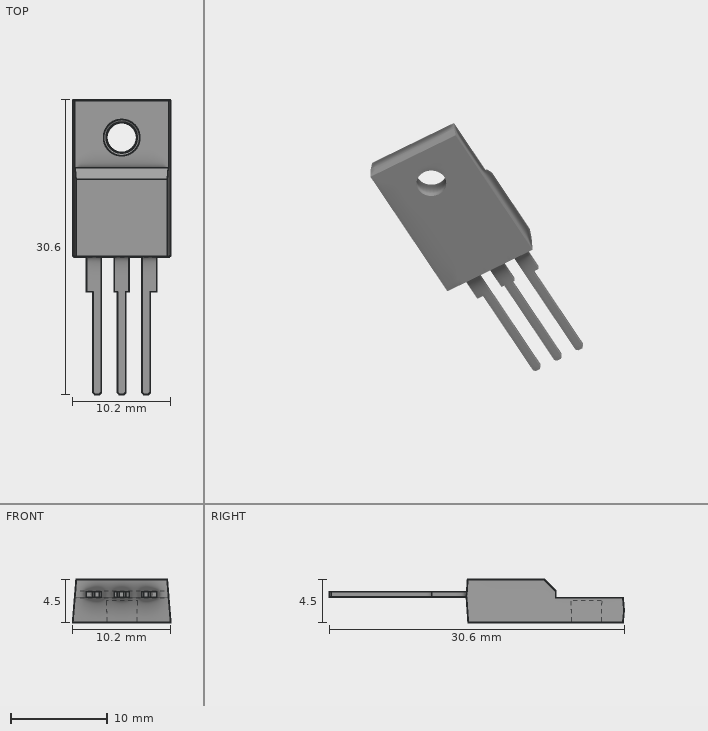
import cadquery as cq

TOTAL_LENGTH = 30.6
BODY_LENGTH = 16.37
BODY_WIDTH = 10.2
BODY_HEIGHT = 4.5
SIDE_INSET = 0.37
PARTING_Z = 2.65
FRONT_BOTTOM_INSET = 0.18
FRONT_TOP_INSET = 0.12
TAB_HEIGHT = 2.6
TAB_LENGTH = 7.1
BACK_INSET = 0.12
SHOULDER_CHAMFER = 1.2

HOLE_TOP_DIAMETER = 3.2
HOLE_BOTTOM_DIAMETER = 3.1
HOLE_CHAMFER = 0.28
HOLE_TO_BACK = 3.95

LEAD_PITCH = 2.55
LEAD_THICKNESS = 0.55
LEAD_WIDTH = 0.9
SHANK_WIDTH = 1.55
SHANK_LENGTH = 3.58
TIP_CHAMFER = 0.2
LEAD_LENGTH = TOTAL_LENGTH - BODY_LENGTH


def make_hole_cutter():
    """Slightly tapered bore with a 45 degree chamfer at the upper rim."""
    top_radius = HOLE_TOP_DIAMETER / 2
    return (
        cq.Workplane("XZ", origin=(0, BODY_LENGTH - HOLE_TO_BACK, 0))
        .polyline([
            (0, 0),
            (HOLE_BOTTOM_DIAMETER / 2, 0),
            (top_radius, TAB_HEIGHT - HOLE_CHAMFER),
            (top_radius + HOLE_CHAMFER, TAB_HEIGHT),
            (0, TAB_HEIGHT),
        ])
        .close()
        .revolve(360, (0, 0), (0, 1))
    )


def make_housing():
    """Moulded block with a low tab, a chamfered shoulder and a mounting hole."""
    shoulder_y = BODY_LENGTH - TAB_LENGTH
    side_profile = (
        cq.Workplane("YZ")
        .moveTo(FRONT_BOTTOM_INSET, 0)
        .lineTo(0, PARTING_Z)
        .lineTo(FRONT_TOP_INSET, BODY_HEIGHT)
        .lineTo(shoulder_y - SHOULDER_CHAMFER, BODY_HEIGHT)
        .lineTo(shoulder_y, BODY_HEIGHT - SHOULDER_CHAMFER)
        .lineTo(shoulder_y, TAB_HEIGHT)
        .lineTo(BODY_LENGTH - BACK_INSET, TAB_HEIGHT)
        .lineTo(BODY_LENGTH, TAB_HEIGHT / 2)
        .lineTo(BODY_LENGTH - BACK_INSET, 0)
        .close()
        .extrude(BODY_WIDTH / 2, both=True)
    )

    half_bottom = BODY_WIDTH / 2
    half_top = half_bottom - SIDE_INSET
    taper = (
        cq.Workplane("XZ")
        .polyline([
            (-half_bottom, 0),
            (half_bottom, 0),
            (half_top, BODY_HEIGHT),
            (-half_top, BODY_HEIGHT),
        ])
        .close()
        .extrude(-BODY_LENGTH)
    )

    return side_profile.intersect(taper).cut(make_hole_cutter())


def make_lead(position, housing):
    """Flat lead at position -1, 0 or 1; outer shanks widen away from the middle."""
    lead_x = position * LEAD_PITCH
    shank_x = lead_x + position * (SHANK_WIDTH - LEAD_WIDTH) / 2
    base = cq.Workplane("XY", origin=(0, 0, PARTING_Z))

    pin = (
        base.center(lead_x, -LEAD_LENGTH / 2)
        .rect(LEAD_WIDTH, LEAD_LENGTH)
        .extrude(LEAD_THICKNESS)
        .edges("|Z and <Y")
        .chamfer(TIP_CHAMFER)
    )

    shank = (
        base.center(shank_x, (FRONT_TOP_INSET - SHANK_LENGTH) / 2)
        .rect(SHANK_WIDTH, SHANK_LENGTH + FRONT_TOP_INSET)
        .extrude(LEAD_THICKNESS)
    )
    return pin.union(shank).cut(housing)


housing = make_housing()
leads = [make_lead(position, housing) for position in (-1, 0, 1)]

result = cq.Compound.makeCompound([housing.solids().val(), *[lead.solids().val() for lead in leads]])